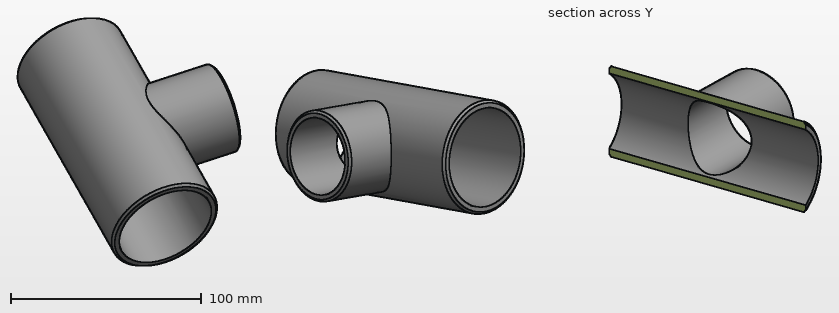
import cadquery as cq

run_length = 127.0
run_outer_diameter = 60.33
run_wall = 3.91

branch_outer_diameter = 48.26
branch_wall = 3.68
branch_reach = 60.45

bevel_axial = 1.3
bevel_radial = 1.3


def beveled_end(radius):
    """Revolved tool that trims a pipe end at Z = 0, the pipe lying below it."""
    clearance = 1.0
    return (
        cq.Workplane("XZ")
        .moveTo(radius - bevel_radial, 0)
        .lineTo(radius + clearance, 0)
        .lineTo(radius + clearance, -bevel_axial)
        .lineTo(radius, -bevel_axial)
        .close()
        .revolve(360, (0, 0, 0), (0, 1, 0))
    )


def run_cylinder(diameter):
    """Cylinder along X, as long as the run and centred on the origin."""
    return cq.Workplane("YZ").circle(diameter / 2).extrude(run_length / 2, both=True)


def branch_cylinder(diameter):
    """Cylinder from the run axis to the branch end face along +Y."""
    return cq.Workplane("XZ").circle(diameter / 2).extrude(-branch_reach)


def bevel_tools():
    """Bevel cutters for both run ends and the branch end."""
    run_bevel = beveled_end(run_outer_diameter / 2).translate((0, 0, run_length / 2))
    branch_bevel = beveled_end(branch_outer_diameter / 2).translate((0, 0, branch_reach))
    return [
        run_bevel.rotate((0, 0, 0), (0, 1, 0), 90),
        run_bevel.rotate((0, 0, 0), (0, 1, 0), -90),
        branch_bevel.rotate((0, 0, 0), (1, 0, 0), -90),
    ]


body = run_cylinder(run_outer_diameter).union(branch_cylinder(branch_outer_diameter))
body = body.cut(run_cylinder(run_outer_diameter - 2 * run_wall))
body = body.cut(branch_cylinder(branch_outer_diameter - 2 * branch_wall))
for bevel in bevel_tools():
    body = body.cut(bevel)

result = body